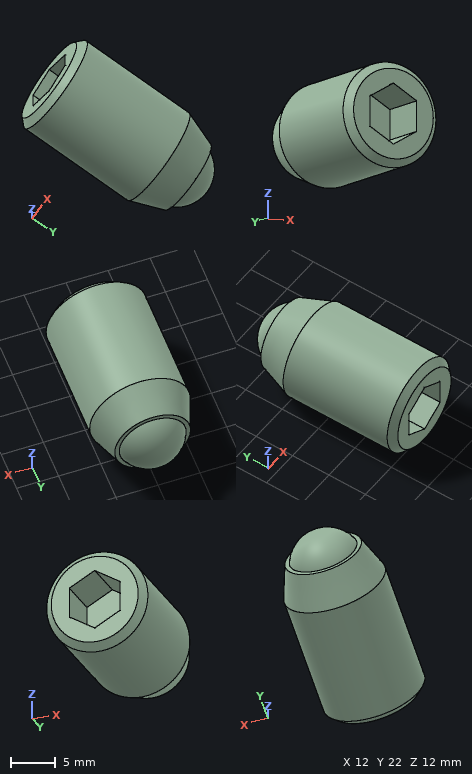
import cadquery as cq
import math

total_length = 22.0
body_diameter = 12.0
chamfer_size = 0.85
nose_length = 4.11
nose_tip_diameter = 9.02
ball_radius = 4.25
ball_protrusion = 2.75
hex_across_flats = 6.0
hex_depth = 6.0
hex_sides = 6

body_radius = body_diameter / 2
nose_tip_radius = nose_tip_diameter / 2
body_length = total_length - ball_protrusion
nose_start = body_length - nose_length
ball_center = (0, total_length - ball_radius, 0)
hex_across_corners = hex_across_flats / math.cos(math.pi / hex_sides)
half_side_angle = 180 / hex_sides


def make_ball():
    """Full sphere held in the nose of the body."""
    return cq.Workplane("XY").sphere(ball_radius).translate(ball_center)


def make_turned_blank():
    """Cylinder with a chamfered drive end and a tapered nose, revolved about Y."""
    return (
        cq.Workplane("XY")
        .moveTo(0, 0)
        .lineTo(body_radius - chamfer_size, 0)
        .lineTo(body_radius, chamfer_size)
        .lineTo(body_radius, nose_start)
        .lineTo(nose_tip_radius, body_length)
        .lineTo(0, body_length)
        .close()
        .revolve(360, (0, 0, 0), (0, 1, 0))
    )


def make_hex_socket():
    """Hexagonal drive recess with two of its corners on the Z axis."""
    return (
        cq.Workplane("XZ")
        .polygon(hex_sides, hex_across_corners)
        .extrude(-hex_depth)
        .rotate((0, 0, 0), (0, 1, 0), half_side_angle)
    )


def make_body():
    """Screw body with its hex drive and the spherical seat for the ball."""
    return make_turned_blank().cut(make_hex_socket()).cut(make_ball())


body = make_body()
ball = make_ball()

result = cq.Compound.makeCompound([body.val(), ball.val()])